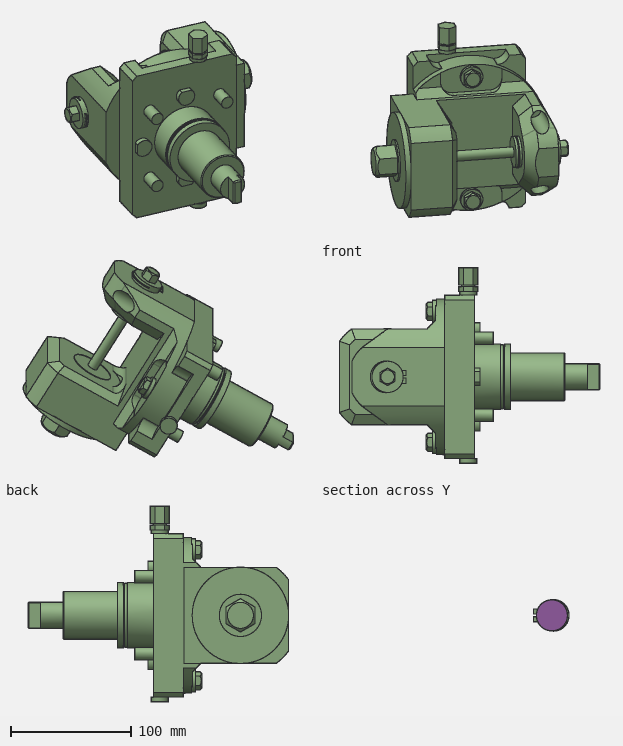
import cadquery as cq
import math

overall_length = 217.0

plate_back = 25.0
plate_half_width = 47.7
plate_half_height = 68.0
plate_chamfer = 4.0
relief_depth = 14.5
relief_half_width = 34.0
relief_floor = 60.5
relief_fillet = 10.0

flange_radius = 64.9
flange_face = -7.5
body_half_height = 40.0
web_front = -19.5
slope_run = 7.2
arm_outer = -60.1

pin_x = -47.5
pin_radius = 4.3
cap_radius = 40.1
cap_inner = 67.3
cap_outer = 71.8
head_front = pin_x - cap_radius
head_back = -0.7
head_inner = 26.7
head_corner_radius = 50.0
head_bevel_height = 5.5
head_bevel_width = 8.7
inner_fillet = 7.8
spotface_radius = 27.0
bushing_radius = 17.5
bushing_lip = 0.5

arm_inner = -32.5
arm_nose_radius = 32.3
arm_front = -77.3
arm_bevel_height = 10.6
arm_bevel_width = 9.8
arm_hole_radius = 7.0
arm_hole_y = -47.7
arm_hole_z = 30.0
arm_hole_floor = -30.4

collar_radius = 13.0
collar_height = 5.2
ring_radius = 13.2
ring_shift = 1.0
ring_thickness = 0.9
ring_offset = 2.2
lug_reach = 15.5
lug_half_width = 5.5
lug_half_gap = 1.0

pin_hex_flats = 12.5
pin_hex_end = -73.3
nut_flats = 24.0
nut_end = 91.1
washer_thickness = 1.3
hex_end_ratio = 0.9

screw_z = 54.5
seat_face = -7.0
seat_half_width = 26.0
seat_inner_z = 41.0
seat_fillet = 10.0
screw_washer_radius = 9.3
screw_washer_front = -10.2
screw_flats = 13.2
screw_head_front = -15.6

boss_radius = 27.3
boss_end = 55.0
groove_start = 46.5
groove_end = 50.0
groove_radius = 25.0
seal_radius = 27.0
seal_section = 1.3
shaft_radius = 20.0
shaft_end = 100.3
shaft_chamfer = 0.9
tail_radius = 11.0
tail_end = 119.0
tang_end = head_front + overall_length
tang_half_thickness = 4.0
tang_chamfer = 1.0

stud_radius = 5.2
stud_offset = 32.1
stud_end = 40.5
button_radius = 7.4
button_offset = 39.3
button_flat = 5.9
button_end = 29.5

fitting_x = 19.5
fitting_y = 15.2
fitting_flats = 13.9
fitting_base_radius = 7.2
fitting_base_top = 71.0
fitting_nut_top = 75.0
fitting_neck_top = 76.4
fitting_neck_radius = 5.6
fitting_top = 91.0
plug_bottom = -72.0


def box(x0, x1, y0, y1, z0, z1):
    return cq.Workplane("XY").box(x1 - x0, y1 - y0, z1 - z0, centered=False).translate((x0, y0, z0))


def rod_x(radius, x0, x1, y=0, z=0):
    return cq.Workplane("YZ", origin=(x0, y, z)).circle(radius).extrude(x1 - x0)


def rod_y(radius, y0, y1, x=pin_x, z=0):
    return cq.Workplane("XZ", origin=(x, y0, z)).circle(radius).extrude(y0 - y1)


def rod_z(radius, z0, z1):
    return cq.Workplane("XY", origin=(fitting_x, fitting_y, z0)).circle(radius).extrude(z1 - z0)


def across_corners(flats):
    return flats / math.cos(math.pi / 6)


def hexagon(plane, origin, flats, length, turn=0):
    """Hexagonal prism sized across its flats, with a corner on the local x axis before it is turned."""
    corners = across_corners(flats)
    return cq.Workplane(plane, origin=origin).transformed((0, 0, turn)).polygon(6, corners).extrude(length)


def hex_head(plane, origin, flats, length, outer_end):
    """Hexagon with two corners in line with Z and a turned chamfer on its outer end."""
    corner_radius = across_corners(flats) / 2
    chamfer = corner_radius - hex_end_ratio * flats / 2
    turned = (
        cq.Workplane(plane, origin=origin)
        .circle(corner_radius)
        .extrude(length)
        .faces(outer_end)
        .chamfer(chamfer)
    )
    return hexagon(plane, origin, flats, length, 90).intersect(turned)


def make_plate():
    plate = (
        box(0, plate_back, -plate_half_width, plate_half_width, -plate_half_height, plate_half_height)
        .edges("|X")
        .chamfer(plate_chamfer)
    )
    for side in (1, -1):
        relief = (
            box(0, relief_depth, -relief_half_width, relief_half_width, relief_floor, 2 * relief_floor)
            .edges("|X and <Z")
            .fillet(relief_fillet)
        )
        if side < 0:
            relief = relief.mirror("XY")
        plate = plate.cut(relief.cut(rod_x(flange_radius, 0, relief_depth)))
    return plate


def make_flange():
    """Round flange with sloped shoulders rising from the web, and a seat for each screw."""
    slope_z = body_half_height + slope_run
    slope_front = flange_face - slope_run
    half_profile = [
        (web_front, body_half_height),
        (slope_front, body_half_height),
        (flange_face, slope_z),
        (flange_face, flange_radius),
        (0, flange_radius),
    ]
    profile = half_profile + [(x, -z) for x, z in reversed(half_profile)]
    flange = (
        cq.Workplane("XZ", origin=(0, plate_half_width, 0))
        .polyline(profile)
        .close()
        .extrude(plate_half_width - arm_outer)
        .intersect(rod_x(flange_radius, web_front, 0))
    )
    seat = (
        box(web_front, seat_face, -seat_half_width, seat_half_width, seat_inner_z, 2 * flange_radius)
        .edges("|X and <Z")
        .fillet(seat_fillet)
    )
    return flange.cut(seat).cut(seat.mirror("XY"))


def head_outline(plane, rear):
    """Side profile of the head block, its front corners rounded by one circle about the pin."""
    front_z = math.sqrt(head_corner_radius**2 - cap_radius**2)
    top_x = pin_x - math.sqrt(head_corner_radius**2 - body_half_height**2)
    middle = (math.atan2(front_z, cap_radius) + math.atan2(body_half_height, pin_x - top_x)) / 2
    middle_x = pin_x - head_corner_radius * math.cos(middle)
    middle_z = head_corner_radius * math.sin(middle)
    return (
        plane.moveTo(rear, body_half_height)
        .lineTo(top_x, body_half_height)
        .threePointArc((middle_x, middle_z), (head_front, front_z))
        .lineTo(head_front, -front_z)
        .threePointArc((middle_x, -middle_z), (top_x, -body_half_height))
        .lineTo(rear, -body_half_height)
        .close()
    )


def make_head():
    """Head block with rounded front corners and a bevel round its inner face."""
    bevel_start = head_inner + head_bevel_height
    taper = math.degrees(math.atan2(head_bevel_width, head_bevel_height))
    plane = cq.Workplane("XZ", origin=(0, bevel_start, 0))
    block = head_outline(plane, head_back).extrude(bevel_start - cap_inner)
    bevel = head_outline(plane, web_front + head_bevel_width).extrude(head_bevel_height, taper=taper)
    web_end = box(web_front, head_back, head_inner, bevel_start, -body_half_height, body_half_height)
    return block.union(bevel).union(web_end).union(make_inner_fillet())


def make_inner_fillet():
    """Rounded corner between the head block and the web, bevelled and spotfaced round the pin."""
    axis_x = web_front - inner_fillet
    axis_y = head_inner - inner_fillet
    corner = box(axis_x, web_front, axis_y, head_inner, -body_half_height, body_half_height)
    corner = corner.cut(
        cq.Workplane("XY", origin=(axis_x, axis_y, -body_half_height))
        .circle(inner_fillet)
        .extrude(2 * body_half_height)
    )
    bevel_start = head_inner + head_bevel_height
    depth = bevel_start - axis_y
    inset = depth * head_bevel_width / head_bevel_height
    bevel = (
        cq.Workplane("YZ", origin=(axis_x, 0, 0))
        .polyline([
            (bevel_start, body_half_height),
            (axis_y, body_half_height - inset),
            (axis_y, inset - body_half_height),
            (bevel_start, -body_half_height),
        ])
        .close()
        .extrude(inner_fillet)
    )
    return corner.intersect(bevel).cut(rod_y(spotface_radius, axis_y, head_inner))


def arm_outline(plane):
    """Arm side profile: a nose arc round the pin with tangent flanks up to the full height."""
    tangent = math.acos(arm_nose_radius / body_half_height)
    nose_x = pin_x - arm_nose_radius * math.sin(tangent)
    nose_z = arm_nose_radius * math.cos(tangent)
    rear = web_front + arm_bevel_width
    return (
        plane.moveTo(rear, body_half_height)
        .lineTo(pin_x, body_half_height)
        .lineTo(nose_x, nose_z)
        .threePointArc((pin_x - arm_nose_radius, 0), (nose_x, -nose_z))
        .lineTo(pin_x, -body_half_height)
        .lineTo(rear, -body_half_height)
        .close()
    )


def make_arm():
    bevel_start = arm_inner - arm_bevel_height
    taper = math.degrees(math.atan2(arm_bevel_width, arm_bevel_height))
    plane = cq.Workplane("XZ", origin=(0, bevel_start, 0))
    straight = arm_outline(plane).extrude(bevel_start - arm_outer)
    bevel = arm_outline(plane).extrude(-arm_bevel_height, taper=taper)
    arm = straight.union(bevel).intersect(rod_x(flange_radius, arm_front, 0))
    for side in (1, -1):
        arm = arm.cut(rod_x(arm_hole_radius, arm_front, arm_hole_floor, arm_hole_y, side * arm_hole_z))
    return arm


def make_collar(face, outward):
    """Collar on one side of the arm with a retaining ring whose lugs point to the plate."""
    collar = rod_y(collar_radius, face, face + outward * collar_height)
    ring_start = face + outward * ring_offset
    ring_stop = ring_start + outward * ring_thickness
    ring = rod_y(ring_radius, ring_start, ring_stop, pin_x - ring_shift)
    y0 = min(ring_start, ring_stop)
    y1 = max(ring_start, ring_stop)
    lug = box(pin_x, pin_x + lug_reach, y0, y1, lug_half_gap, lug_half_width)
    return collar.union(ring).union(lug).union(lug.mirror("XY"))


def make_pin_parts():
    outer_collar_end = arm_outer - collar_height
    washer_end = cap_outer + washer_thickness
    parts = rod_y(cap_radius, cap_inner, cap_outer)
    parts = parts.union(rod_y(bushing_radius, cap_outer, washer_end))
    parts = parts.union(rod_y(bushing_radius, head_inner, head_inner - bushing_lip))
    parts = parts.union(rod_y(pin_radius, arm_inner, head_inner))
    parts = parts.union(make_collar(arm_inner, 1))
    parts = parts.union(make_collar(arm_outer, -1))
    parts = parts.union(hex_head("XZ", (pin_x, washer_end, 0), nut_flats, washer_end - nut_end, ">Y"))
    pin_hex_length = outer_collar_end - pin_hex_end
    return parts.union(hex_head("XZ", (pin_x, outer_collar_end, 0), pin_hex_flats, pin_hex_length, "<Y"))


def make_flange_screw(z):
    washer = rod_x(screw_washer_radius, screw_washer_front, seat_face, 0, z)
    head_length = screw_head_front - screw_washer_front
    head = hex_head("YZ", (screw_washer_front, 0, z), screw_flats, head_length, "<X")
    return washer.union(head)


def make_spindle():
    profile = [
        (plate_back, 0),
        (plate_back, boss_radius),
        (groove_start, boss_radius),
        (groove_start, groove_radius),
        (groove_end, groove_radius),
        (groove_end, boss_radius),
        (boss_end, boss_radius),
        (boss_end, shaft_radius),
        (shaft_end - shaft_chamfer, shaft_radius),
        (shaft_end, shaft_radius - shaft_chamfer),
        (shaft_end, tail_radius),
        (tang_end, tail_radius),
        (tang_end, 0),
    ]
    spindle = cq.Workplane("XY").polyline(profile).close().revolve(360, (0, 0, 0), (1, 0, 0))
    for y in (tang_half_thickness, -tang_half_thickness - tail_radius):
        spindle = spindle.cut(box(tail_end, tang_end, y, y + tail_radius, -tail_radius, tail_radius))
    spindle = spindle.faces(">X").chamfer(tang_chamfer)
    seal_path_radius = seal_radius - seal_section
    seal = (
        cq.Workplane("XY", origin=(groove_start + seal_section, seal_path_radius, 0))
        .circle(seal_section)
        .revolve(360, (0, -seal_path_radius, 0), (1, -seal_path_radius, 0))
    )
    return spindle.union(seal)


def make_back_details():
    button = rod_x(button_radius, plate_back, button_end).intersect(
        box(plate_back, button_end, -button_radius, button_radius, -button_radius, button_flat)
    ).translate((0, 0, button_offset))
    parts = cq.Workplane("XY")
    for turn in (0, 90, 180):
        parts = parts.union(button.rotate((0, 0, 0), (1, 0, 0), turn))
    for side in (1, -1):
        for y in (stud_offset, -stud_offset):
            parts = parts.union(rod_x(stud_radius, plate_back, stud_end, y, side * stud_offset))
    return parts


def make_fitting():
    def nut(z0, z1):
        return hexagon("XY", (fitting_x, fitting_y, z0), fitting_flats, z1 - z0)

    fitting = rod_z(fitting_base_radius, plate_half_height, fitting_base_top)
    fitting = fitting.union(nut(fitting_base_top, fitting_nut_top))
    fitting = fitting.union(rod_z(fitting_neck_radius, fitting_nut_top, fitting_neck_top))
    fitting = fitting.union(nut(fitting_neck_top, fitting_top))
    return fitting.union(rod_z(fitting_base_radius, plug_bottom, -plate_half_height))


result = make_plate()
for feature in (
    make_flange(),
    make_head(),
    make_arm(),
    make_pin_parts(),
    make_flange_screw(screw_z),
    make_flange_screw(-screw_z),
    make_spindle(),
    make_back_details(),
    make_fitting(),
):
    result = result.union(feature)